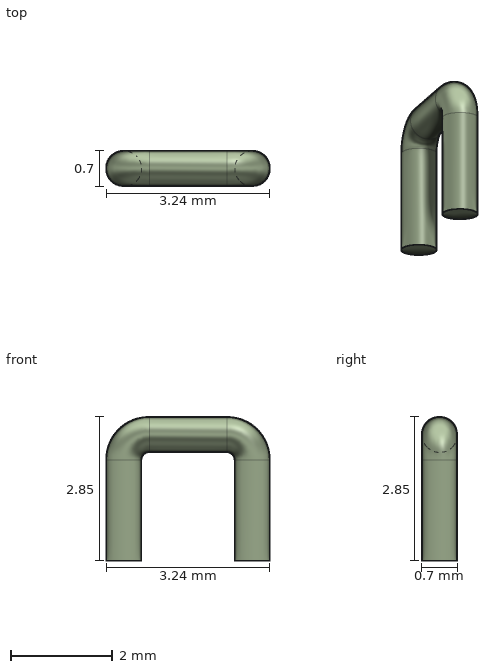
import cadquery as cq
import math

wire_diameter = 0.7
leg_pitch = 2.54
total_height = 2.85
bend_radius = 0.5

wire_radius = wire_diameter / 2
leg_x = leg_pitch / 2
bridge_z = total_height - wire_radius
bend_z = bridge_z - bend_radius
bend_x = leg_x - bend_radius
bend_middle_offset = bend_radius * math.sin(math.radians(45))


def wire_axis():
    """U-shaped centre line: left leg, bend, bridge, bend, right leg."""
    middle_x = bend_x + bend_middle_offset
    middle_z = bend_z + bend_middle_offset
    return (
        cq.Workplane("XZ")
        .moveTo(-leg_x, 0)
        .lineTo(-leg_x, bend_z)
        .threePointArc((-middle_x, middle_z), (-bend_x, bridge_z))
        .lineTo(bend_x, bridge_z)
        .threePointArc((middle_x, middle_z), (leg_x, bend_z))
        .lineTo(leg_x, 0)
    )


result = cq.Workplane("XY", origin=(-leg_x, 0, 0)).circle(wire_radius).sweep(wire_axis())